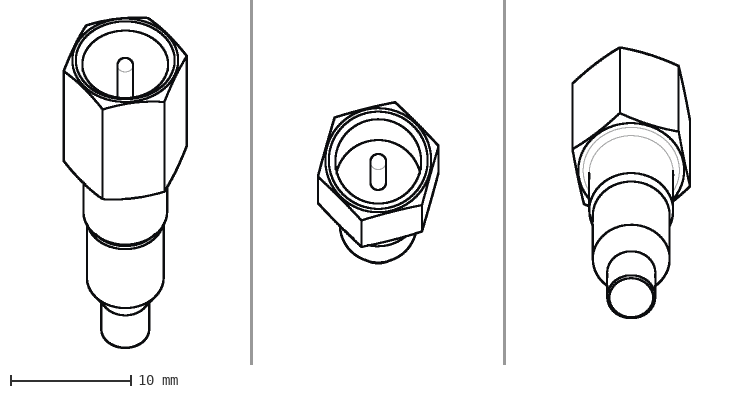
import cadquery as cq
import math

total_height = 36.4
hex_bottom = 23.4
collar_bottom = 16.0
groove_height = 15.2
sleeve_bottom = 7.1
stem_top = 4.6

across_flats = 9.0
hex_corner_radius = across_flats / math.sqrt(3)
crown_radius = 4.4
crown_angle = math.radians(30)
crown_drop = (hex_corner_radius - crown_radius) * math.tan(crown_angle)

collar_radius = 3.5
collar_fillet = 0.5
groove_radius = 2.35
sleeve_radius = 3.2
stem_radius = 2.0
edge_chamfer = 0.2

socket_radius = 3.55
socket_mouth_radius = 4.1
socket_depth = 10.0
mouth_depth = socket_mouth_radius - socket_radius
pin_radius = 0.65
pin_tip = 36.33


def revolve_profile(profile):
    """Turn a closed radius-height outline about the Z axis."""
    return profile.close().revolve(360, (0, 0, 0), (0, 1, 0))


def make_head():
    """Hexagon with its corners turned off by a cone at both ends."""
    prism = (
        cq.Workplane("XY", origin=(0, 0, hex_bottom))
        .polygon(6, 2 * hex_corner_radius)
        .extrude(total_height - hex_bottom)
        .rotate((0, 0, 0), (0, 0, 1), 30)
    )
    crown = revolve_profile(
        cq.Workplane("XZ")
        .moveTo(0, hex_bottom)
        .lineTo(crown_radius, hex_bottom)
        .lineTo(hex_corner_radius, hex_bottom + crown_drop)
        .lineTo(hex_corner_radius, total_height - crown_drop)
        .lineTo(crown_radius, total_height)
        .lineTo(0, total_height)
    )
    return prism.intersect(crown)


def make_shank():
    """Stepped round shank, with a concave fillet where it meets the head."""
    fillet_middle = collar_fillet * (1 - math.sqrt(0.5))
    return revolve_profile(
        cq.Workplane("XZ")
        .moveTo(0, 0)
        .lineTo(stem_radius - edge_chamfer, 0)
        .lineTo(stem_radius, edge_chamfer)
        .lineTo(stem_radius, stem_top)
        .lineTo(sleeve_radius, sleeve_bottom)
        .lineTo(sleeve_radius, groove_height - edge_chamfer)
        .lineTo(sleeve_radius - edge_chamfer, groove_height)
        .lineTo(groove_radius, groove_height)
        .lineTo(collar_radius, collar_bottom)
        .lineTo(collar_radius, hex_bottom - collar_fillet)
        .threePointArc(
            (collar_radius + fillet_middle, hex_bottom - fillet_middle),
            (collar_radius + collar_fillet, hex_bottom),
        )
        .lineTo(0, hex_bottom)
    )


def make_socket():
    """Blind bore with a conical mouth."""
    socket_floor = total_height - socket_depth
    return revolve_profile(
        cq.Workplane("XZ")
        .moveTo(0, socket_floor)
        .lineTo(socket_radius, socket_floor)
        .lineTo(socket_radius, total_height - mouth_depth)
        .lineTo(socket_mouth_radius, total_height)
        .lineTo(0, total_height)
    )


def make_pin():
    """Round-ended contact pin, rooted in the solid below the socket floor."""
    dome_centre = pin_tip - pin_radius
    dome_middle = pin_radius * math.sqrt(0.5)
    return revolve_profile(
        cq.Workplane("XZ")
        .moveTo(0, hex_bottom)
        .lineTo(pin_radius, hex_bottom)
        .lineTo(pin_radius, dome_centre)
        .threePointArc((dome_middle, dome_centre + dome_middle), (0, pin_tip))
    )


result = make_head().union(make_shank()).cut(make_socket()).union(make_pin())